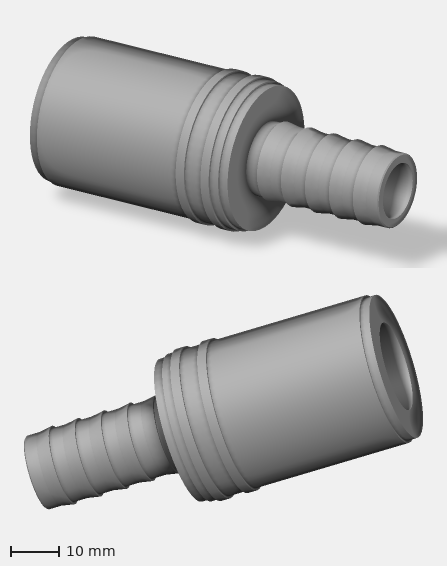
import cadquery as cq

body_length = 48.0
body_diameter = 32.0
end_step_diameter = 31.0
end_step_length = 2.0

ring_diameter = 33.0
ring_width = 2.0
ring_starts = (36.0, 42.0)

tail_length = 32.0
tail_diameter = 16.0
tail_tip_chamfer = 0.25

barb_diameter = 17.0
barb_count = 5
barb_length = tail_length / (2 * barb_count + 1)

socket_diameter = 19.0
socket_depth = 30.0
bore_diameter = 12.0

total_length = body_length + tail_length


def cylinder(start, length, diameter):
    """Cylinder on the X axis, running from X = start."""
    return cq.Workplane("YZ", origin=(start, 0, 0)).circle(diameter / 2).extrude(length)


def make_body():
    """Stepped cylinder with two raised rings near the tail."""
    body = cylinder(0, body_length, end_step_diameter)
    main_length = body_length - 2 * end_step_length
    body = body.union(cylinder(end_step_length, main_length, body_diameter))
    for ring_start in ring_starts:
        body = body.union(cylinder(ring_start, ring_width, ring_diameter))
    return body


def make_barb(start):
    """Cone with a square shoulder towards the body, tapering to the tail surface."""
    profile = [
        (start, 0),
        (start, barb_diameter / 2),
        (start + barb_length, tail_diameter / 2),
        (start + barb_length, 0),
    ]
    return cq.Workplane("XY").polyline(profile).close().revolve(360, (0, 0, 0), (1, 0, 0))


def make_tail():
    """Barbed hose tail with a chamfered tip."""
    tail = cylinder(body_length, tail_length, tail_diameter)
    tail = tail.faces(">X").chamfer(tail_tip_chamfer)
    for index in range(barb_count):
        barb_start = body_length + (2 * index + 1) * barb_length
        tail = tail.union(make_barb(barb_start))
    return tail


def cut_bores(part):
    """Blind socket at the mouth, continued by a through bore."""
    part = part.cut(cylinder(0, socket_depth, socket_diameter))
    return part.cut(cylinder(0, total_length, bore_diameter))


result = cut_bores(make_body().union(make_tail()))